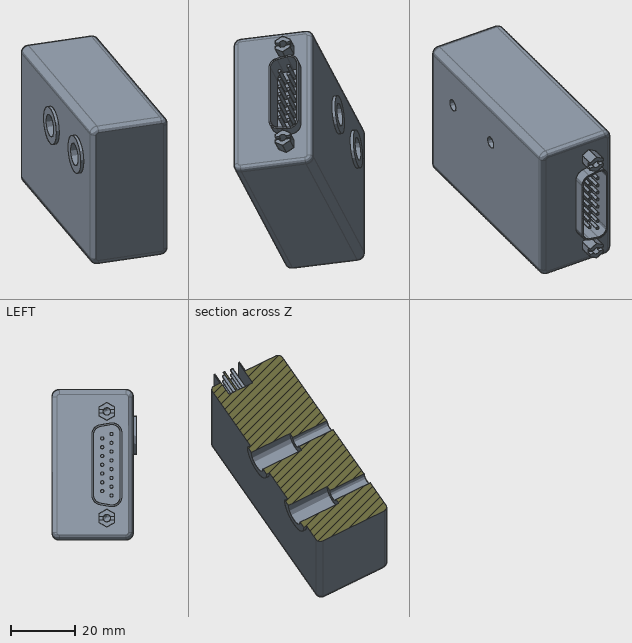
import cadquery as cq
import math

TOTAL_LENGTH = 72.05
BODY_LENGTH = 67.3
BODY_DEPTH = 25.45
BODY_HEIGHT = 47.0
LONG_EDGE_RADIUS = 2.3
END_EDGE_RADIUS = 1.6
OVERLAP = 1.45

BOSS_DIAMETER = 11.95
BOSS_HEIGHT = 1.0
BOSS_FIRST_X = 31.0
BOSS_SPACING = 23.0
BOSS_BELOW_TOP = 14.3
COUNTERBORE_DIAMETER = 7.05
COUNTERBORE_DEPTH = 13.0
BOLT_HOLE_DIAMETER = 3.7

CONNECTOR_Y = 8.3
SHELL_PROJECTION = 3.6
SHELL_WIDTH = 9.4
SHELL_LONG_SIDE = 27.3
SHELL_TAPER = 10.0
SHELL_CORNER_RADIUS = 3.1
SHELL_WALL = 0.5
SOCKET_RECESS = 5.05

PIN_DIAMETER = 1.0
PIN_PITCH = 2.75
PIN_ROW_SPACING = 2.9
LONG_ROW_PINS = 8
PIN_TIP_SETBACK = 0.65

SCREW_PROJECTION = TOTAL_LENGTH - BODY_LENGTH
SCREW_SPACING = 33.3
SCREW_ACROSS_FLATS = 4.8
SCREW_SLOT_WIDTH = 1.1
SCREW_SLOT_DEPTH = 1.4
SCREW_HOLE_DIAMETER = 2.3
SCREW_HOLE_END_X = 0.0
DRILL_TIP_ANGLE = 118.0
HEX_SIDES = 6


def make_body():
    box = cq.Workplane("XY").box(BODY_LENGTH, BODY_DEPTH, BODY_HEIGHT)
    box = box.edges("|X").fillet(LONG_EDGE_RADIUS)
    box = box.faces("<X or >X").edges().fillet(END_EDGE_RADIUS)
    return box.translate((BODY_LENGTH / 2, BODY_DEPTH / 2, 0))


def cylinder_along_y(diameter, start_y, end_y, x, z):
    start = cq.Vector(x, start_y, z)
    return cq.Workplane(cq.Solid.makeCylinder(diameter / 2, end_y - start_y, start, cq.Vector(0, 1, 0)))


def cylinder_along_x(diameter, start_x, end_x, y, z):
    start = cq.Vector(start_x, y, z)
    return cq.Workplane(cq.Solid.makeCylinder(diameter / 2, end_x - start_x, start, cq.Vector(1, 0, 0)))


def add_boss(part, x):
    z = BODY_HEIGHT / 2 - BOSS_BELOW_TOP
    part = part.union(cylinder_along_y(BOSS_DIAMETER, -BOSS_HEIGHT, OVERLAP, x, z))
    part = part.cut(cylinder_along_y(COUNTERBORE_DIAMETER, -BOSS_HEIGHT, COUNTERBORE_DEPTH, x, z))
    return part.cut(cylinder_along_y(BOLT_HOLE_DIAMETER, -BOSS_HEIGHT, BODY_DEPTH, x, z))


def shell_prism(inset, start_x, end_x):
    """Tapered connector outline, shrunk by inset, extruded from start_x to end_x."""
    front_y = CONNECTOR_Y - SHELL_WIDTH / 2
    back_y = CONNECTOR_Y + SHELL_WIDTH / 2
    front_z = SHELL_LONG_SIDE / 2
    back_z = front_z - SHELL_WIDTH * math.tan(math.radians(SHELL_TAPER))
    corners = [(front_y, -front_z), (front_y, front_z), (back_y, back_z), (back_y, -back_z)]
    outline = cq.Sketch().polygon(corners + corners[:1]).vertices().fillet(SHELL_CORNER_RADIUS)
    if inset > 0:
        outline = outline.reset().wires().offset(-inset, mode="i").reset()
    return cq.Workplane("YZ", origin=(start_x, 0, 0)).placeSketch(outline).extrude(end_x - start_x)


def add_connector(part):
    part = part.union(shell_prism(0, -SHELL_PROJECTION, SOCKET_RECESS))
    part = part.cut(shell_prism(SHELL_WALL, -SHELL_PROJECTION, SOCKET_RECESS))
    tip_x = PIN_TIP_SETBACK - SHELL_PROJECTION
    root_x = SOCKET_RECESS + OVERLAP
    rows = [(-PIN_ROW_SPACING / 2, LONG_ROW_PINS), (PIN_ROW_SPACING / 2, LONG_ROW_PINS - 1)]
    for row_offset, pin_count in rows:
        for index in range(pin_count):
            z = (index - (pin_count - 1) / 2) * PIN_PITCH
            part = part.union(cylinder_along_x(PIN_DIAMETER, tip_x, root_x, CONNECTOR_Y + row_offset, z))
    return part


def add_jack_screw(part, z):
    across_corners = SCREW_ACROSS_FLATS / math.cos(math.pi / HEX_SIDES)
    head = (
        cq.Workplane("YZ", origin=(-SCREW_PROJECTION, CONNECTOR_Y, z))
        .transformed(rotate=(0, 0, 90))
        .polygon(HEX_SIDES, across_corners)
        .extrude(SCREW_PROJECTION + OVERLAP)
    )
    slot = cq.Workplane("XY").box(2 * SCREW_SLOT_DEPTH, 2 * SCREW_ACROSS_FLATS, SCREW_SLOT_WIDTH)
    slot = slot.translate((-SCREW_PROJECTION, CONNECTOR_Y, z))
    hole = cylinder_along_x(SCREW_HOLE_DIAMETER, -SCREW_PROJECTION, SCREW_HOLE_END_X, CONNECTOR_Y, z)
    tip_radius = SCREW_HOLE_DIAMETER / 2
    tip_length = tip_radius / math.tan(math.radians(DRILL_TIP_ANGLE / 2))
    tip_start = cq.Vector(SCREW_HOLE_END_X, CONNECTOR_Y, z)
    tip = cq.Solid.makeCone(tip_radius, 0, tip_length, tip_start, cq.Vector(1, 0, 0))
    return part.union(head).cut(slot).cut(hole).cut(cq.Workplane(tip))


result = make_body()
for boss_x in (BOSS_FIRST_X, BOSS_FIRST_X + BOSS_SPACING):
    result = add_boss(result, boss_x)
result = add_connector(result)
for screw_z in (-SCREW_SPACING / 2, SCREW_SPACING / 2):
    result = add_jack_screw(result, screw_z)